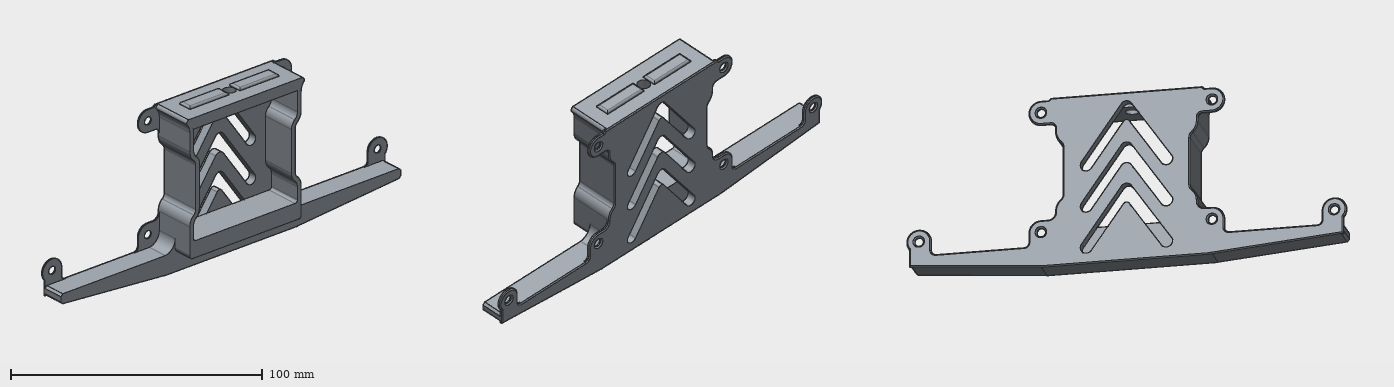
import cadquery as cq
import math

depth = 20.0
arm_depth = 11.0
plate_thickness = 1.2
plate_chamfer = 0.5
middle_z = 39.9

screw_diameter = 3.5
screw_mouth_diameter = 4.7
ear_radius = 5.0
clearance_radius = 5.9
inner_screw_y = 35.0
outer_screw_y = 85.0
screw_drop = 25.2
lower_screw_z = middle_z - screw_drop
upper_screw_z = middle_z + screw_drop
ear_fillet = 2.0
lower_ear_fillet = 3.0

box_top = 71.0
box_bottom = 2 * middle_z - box_top
box_half_width = inner_screw_y - clearance_radius
waist_drop = 3.1
shoulder_radius = 6.0
waist_fillet = 3.0
shoulder_z = 16.6
edge_radius = 2.0
bottom_edge_drop = 1.7
lip_half_width = 30.8
gusset_half_width = 30.9
gusset_foot = 32.0

wall = 2.0
front_wall = 4.0
cavity_floor = 16.3
cavity_roof = 66.0
cavity_floor_fillet = 1.2

arm_top = 8.85
arm_half_length = 88.8
arm_tip_bottom = 4.5
arm_flat_half_length = 33.5
arm_tip_chamfer = 1.0

slot_radius = 2.5
slot_half_span = 16.4
slot_rise = 23.3
slot_pitch = 17.4
lowest_slot_z = 6.8
slot_corner_radii = (1.5, 2.5, 1.5)

bar_width = 6.4
bar_height = 1.0
bar_edge_radius = 0.95
bar_start = 2.85
bar_end = 23.25
top_hole_diameter = 5.4

select_margin = 0.1


def yz_plane(x, y=0, z=0):
    """Workplane facing +X, with Y and Z as its local axes, centred on the given point."""
    return cq.Workplane("YZ", origin=(x, y, z))


def mirrored(half):
    """Join a +Y half with its mirror image."""
    return half.union(half.mirror("XZ"))


def fillet_edge_along_x(solid, y, z, radius):
    """Round the X-parallel edge that passes through (y, z)."""
    low = (-select_margin, y - select_margin, z - select_margin)
    high = (depth, y + select_margin, z + select_margin)
    return solid.edges(cq.selectors.BoxSelector(low, high)).edges("|X").fillet(radius)


def side_profile(start_x, inset, bottom, top):
    """Half section of the box from the centre plane to its waisted side, moved in by inset."""
    side = box_half_width - inset
    waist = side - waist_drop
    outer_r = shoulder_radius - inset
    inner_r = waist_fillet + inset
    turn = math.acos(1 - waist_drop / (outer_r + inner_r))
    waist_z = shoulder_z - (outer_r + inner_r) * math.sin(turn)

    def shoulder(angle):
        return side - outer_r * (1 - math.cos(angle)), shoulder_z - outer_r * math.sin(angle)

    def hollow(angle):
        return waist + inner_r * (1 - math.cos(angle)), waist_z + inner_r * math.sin(angle)

    def lower(point):
        return point[0], middle_z - point[1]

    def upper(point):
        return point[0], middle_z + point[1]

    return (
        yz_plane(start_x)
        .moveTo(0, bottom)
        .lineTo(side, bottom)
        .lineTo(*lower(shoulder(0)))
        .threePointArc(lower(shoulder(turn / 2)), lower(shoulder(turn)))
        .threePointArc(lower(hollow(turn / 2)), lower(hollow(0)))
        .lineTo(*upper(hollow(0)))
        .threePointArc(upper(hollow(turn / 2)), upper(hollow(turn)))
        .threePointArc(upper(shoulder(turn / 2)), upper(shoulder(0)))
        .lineTo(side, top)
        .lineTo(0, top)
        .close()
    )


def lip_profile(start_x):
    """Half section of the box top, flared out above the upper screws, with a rounded edge."""
    contact_y = inner_screw_y - lip_half_width
    contact_angle = math.acos(contact_y / clearance_radius)
    lip_z = upper_screw_z + clearance_radius * math.sin(contact_angle)
    edge_angle = math.asin((box_top - lip_z) / edge_radius)

    def under(angle):
        return (
            inner_screw_y - clearance_radius * math.cos(angle),
            upper_screw_z + clearance_radius * math.sin(angle),
        )

    def edge(angle):
        return (
            lip_half_width - edge_radius * (1 - math.cos(angle)),
            lip_z + edge_radius * math.sin(angle),
        )

    return (
        yz_plane(start_x)
        .moveTo(0, upper_screw_z)
        .lineTo(*under(0))
        .threePointArc(under(contact_angle / 2), under(contact_angle))
        .threePointArc(edge(edge_angle / 2), edge(edge_angle))
        .lineTo(0, box_top)
        .close()
    )


def bottom_edge_waste(start_x):
    """Cutter that rounds the lower long edge of the box."""
    angle = math.asin(bottom_edge_drop / edge_radius)

    def edge(turn):
        return (
            box_half_width - edge_radius * (1 - math.cos(turn)),
            box_bottom + bottom_edge_drop - edge_radius * math.sin(turn),
        )

    return (
        yz_plane(start_x)
        .moveTo(*edge(0))
        .threePointArc(edge(angle / 2), edge(angle))
        .lineTo(box_half_width, box_bottom)
        .close()
        .extrude(depth)
    )


def box_half():
    """Box body behind the plate's chamfered edge, +Y half, still without its cavity."""
    length = depth - plate_chamfer
    body = side_profile(plate_chamfer, 0, box_bottom, upper_screw_z).extrude(length)
    lip = lip_profile(plate_chamfer).extrude(length)
    return body.cut(bottom_edge_waste(plate_chamfer)).union(lip)


def arm_profile(start_x):
    """Half outline of the arms with their sloping underside."""
    return (
        yz_plane(start_x)
        .lineTo(arm_flat_half_length, 0)
        .lineTo(arm_half_length, arm_tip_bottom)
        .lineTo(arm_half_length, arm_top)
        .lineTo(0, arm_top)
        .close()
    )


def arm_half():
    """Arm behind the plate, with a web curving up around the lower inner screw."""
    length = arm_depth - plate_chamfer
    arm = arm_profile(plate_chamfer).extrude(length).edges("|X and >Y").chamfer(arm_tip_chamfer)
    web = yz_plane(plate_chamfer).rect(inner_screw_y, lower_screw_z, centered=False).extrude(length)
    clearance = yz_plane(0, inner_screw_y, lower_screw_z).circle(clearance_radius).extrude(depth)
    return arm.union(web.cut(clearance))


def plate_block(y_start, y_end, z_start, z_end):
    """Rectangle of plate between the given limits."""
    rectangle = yz_plane(0, y_start, z_start).rect(y_end - y_start, z_end - z_start, centered=False)
    return rectangle.extrude(plate_thickness)


def ear_disc(y, z):
    """Round end of a screw ear."""
    return yz_plane(0, y, z).circle(ear_radius).extrude(plate_thickness)


def plate_half():
    """Face plate with its three screw ears, +Y half."""
    lower_ear_top = lower_screw_z + ear_radius
    upper_ear_bottom = upper_screw_z - ear_radius
    upper_ear_top = upper_screw_z + ear_radius
    inner_ear_side = inner_screw_y + ear_radius
    outer_ear_side = outer_screw_y - ear_radius
    gusset = (
        yz_plane(0)
        .moveTo(0, box_top)
        .lineTo(gusset_half_width, box_top)
        .lineTo(gusset_foot, upper_ear_top)
        .lineTo(0, upper_ear_top)
        .close()
        .extrude(plate_thickness)
    )
    pieces = (
        arm_profile(0).extrude(plate_thickness),
        gusset,
        ear_disc(inner_screw_y, lower_screw_z),
        ear_disc(inner_screw_y, upper_screw_z),
        ear_disc(outer_screw_y, lower_screw_z),
        plate_block(0, inner_screw_y, arm_top, lower_ear_top),
        plate_block(0, inner_screw_y, upper_ear_bottom, upper_ear_top),
        plate_block(inner_screw_y, inner_ear_side, arm_top, lower_screw_z),
        plate_block(outer_ear_side, arm_half_length, arm_top, lower_screw_z),
    )
    plate = side_profile(0, 0, box_bottom, upper_screw_z).extrude(plate_thickness)
    for piece in pieces:
        plate = plate.union(piece)
    plate = plate.clean()
    plate = fillet_edge_along_x(plate, box_half_width, upper_ear_bottom, ear_fillet)
    plate = fillet_edge_along_x(plate, box_half_width, lower_ear_top, lower_ear_fillet)
    plate = fillet_edge_along_x(plate, inner_ear_side, arm_top, ear_fillet)
    return fillet_edge_along_x(plate, outer_ear_side, arm_top, ear_fillet)


def cavity():
    """Room inside the box, open at the back, rounded where the floor meets the sides."""
    half = side_profile(front_wall, wall, cavity_floor, cavity_roof).extrude(depth - front_wall)
    half = fillet_edge_along_x(half, box_half_width - wall, cavity_floor, cavity_floor_fillet)
    return mirrored(half)


def chevron_slot(end_z, corner_radius):
    """Chevron-shaped cutter as deep as the front wall; end_z is the height of its round ends."""
    length = math.hypot(slot_half_span, slot_rise)
    slope = math.degrees(math.atan2(slot_rise, slot_half_span))
    leg = (
        yz_plane(0, slot_half_span / 2, end_z + slot_rise / 2)
        .slot2D(length + 2 * slot_radius, 2 * slot_radius, -slope)
        .extrude(front_wall)
    )
    corner_z = end_z + slot_rise - slot_radius * length / slot_half_span
    return fillet_edge_along_x(mirrored(leg), 0, corner_z, corner_radius)


def top_bars():
    """Two bars with rounded upper edges on the top face."""
    bar = (
        cq.Workplane("XY", origin=(depth / 2, (bar_start + bar_end) / 2, box_top))
        .rect(bar_width, bar_end - bar_start)
        .extrude(bar_height)
        .faces(">Z")
        .edges()
        .fillet(bar_edge_radius)
    )
    return mirrored(bar)


def screw_hole(y, z):
    """Cutter for one screw hole, widened at the front face."""
    radius = screw_diameter / 2
    mouth_radius = screw_mouth_diameter / 2
    return (
        cq.Workplane("XY")
        .lineTo(0, mouth_radius)
        .lineTo(mouth_radius - radius, radius)
        .lineTo(plate_thickness, radius)
        .lineTo(plate_thickness, 0)
        .close()
        .revolve(360, (0, 0, 0), (1, 0, 0))
        .translate((0, y, z))
    )


def top_hole():
    """Cutter for the round hole from the top face into the cavity."""
    start = cq.Workplane("XY", origin=(depth / 2, 0, middle_z))
    return start.circle(top_hole_diameter / 2).extrude(box_top - middle_z)


plate = mirrored(plate_half()).clean().faces("<X").edges().chamfer(plate_chamfer)
body = mirrored(box_half().union(arm_half()))
result = plate.union(body).union(top_bars()).cut(cavity()).cut(top_hole())

screw_places = (
    (inner_screw_y, lower_screw_z),
    (inner_screw_y, upper_screw_z),
    (outer_screw_y, lower_screw_z),
)
for screw_y, screw_z in screw_places:
    result = result.cut(mirrored(screw_hole(screw_y, screw_z)))

for index, corner_radius in enumerate(slot_corner_radii):
    result = result.cut(chevron_slot(lowest_slot_z + index * slot_pitch, corner_radius))